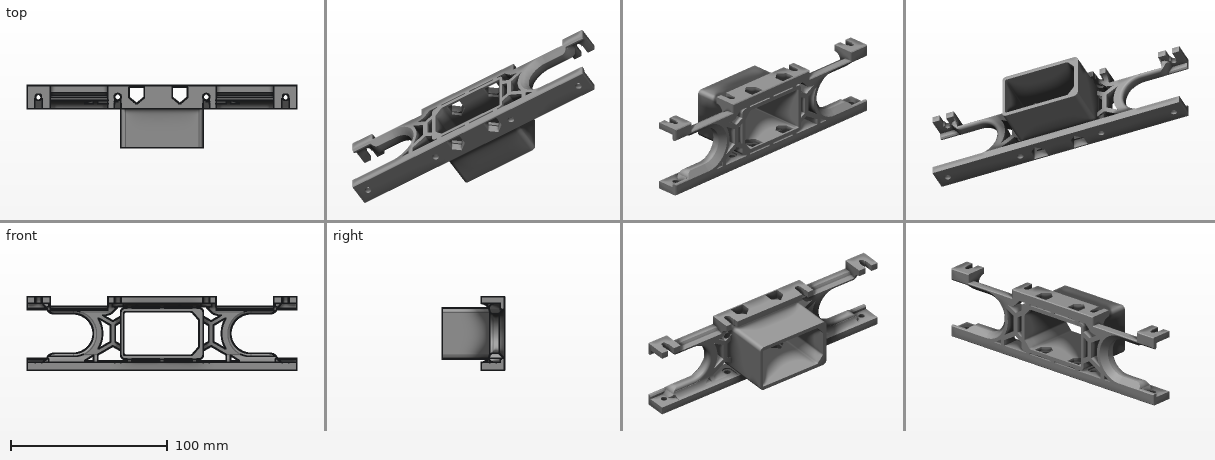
import cadquery as cq
import math

LENGTH = 172.0
HALF_LENGTH = LENGTH / 2
HEIGHT = 47.0
HALF_HEIGHT = HEIGHT / 2
FLANGE_DEPTH = 15.1
PLATE_THICKNESS = 9.8
GUSSET_RADIUS = 5.2
TOP_FLANGE_THICKNESS = 4.3
BOTTOM_FLANGE_THICKNESS = 5.2
TOP_SEAT = HALF_HEIGHT - TOP_FLANGE_THICKNESS
BOTTOM_SEAT = -HALF_HEIGHT + BOTTOM_FLANGE_THICKNESS
BACK_CHAMFER = 0.5
CUT_DEPTH = FLANGE_DEPTH + 1.7

CENTRE_FLANGE_HALF = 34.5
TAB_INNER = 71.2
BAR_TOP = 17.4
BAR_FRONT_TOP = 15.6
BAR_FLAT_DEPTH = 5.0
BAR_STEP = 1.4
BAR_SHELF_DEPTH = 7.7
BAR_EDGE_TOP = 14.8

OPENING_X = 56.4
OPENING_RADIUS = 12.5
OPENING_BACK_CHAMFER = 3.8
OPENING_FRONT_ROUND = 2.0
RING_WIDTH = 6.0

LIP_THICKNESS = 3.0
LIP_EDGE_TOP = 15.1
LIP_EDGE_BOTTOM = 15.8
LIP_START = 68.6
LIP_CHAMFER = 0.9
SEAT_WALL_FOOT = 76.0
SEAT_CORNER_RADIUS = 4.0
SEAT_CORNER_START = 6.9

TUBE_HALF_WIDTH = 26.3
TUBE_HALF_HEIGHT = 16.3
TUBE_DEPTH = 40.0
TUBE_CORNER = 2.8
BORE_LEFT = -24.2
BORE_RIGHT = 23.5
BORE_HALF_HEIGHT = 13.8
BORE_CHAMFER_X = 4.5
BORE_CHAMFER_Z = 5.2
BORE_CORNER = 0.7
BORE_SLANT_ROUND = 1.7

WINDOW_TOP = 17.2
WINDOW_BOTTOM = -17.4
WINDOW_SLOPE_TOP_X = 28.0
WINDOW_SLOPE_FOOT_X = 32.5
BAR_END_X = 36.5
BAR_END_BOTTOM = 11.3
RIB_WIDTH = 3.1
RIB_ANGLE = math.radians(30)
NODE_X = 31.3
NODE_Z = 6.2
ARM_LENGTH = 15.5
TUBE_RIB_X = 20.8
POST_INNER = 41.0
POST_OUTER = 43.7
POST_TOP = -13.2
TRIANGLE_WIDTH = 5.5
TRIANGLE_HEIGHT = 3.5

CENTRE_SCREW_X = 28.2
TAB_SCREW_X = 78.8
SCREW_Y = -7.5
HOLE_DIAMETER = 4.1
CENTRE_SLOT_WIDTH = 4.1
TAB_SLOT_WIDTH = 3.5
SLOT_MOUTH_WIDTH = 4.6
CENTRE_MOUTH_Y = -11.9
TAB_MOUTH_Y = -8.8
HEAD_DIAMETER = 6.9
HEAD_CLEARANCE = 2.2
POCKET_XS = (-16.2, 11.3)
POCKET_WIDTH = 9.6
POCKET_BACK = -1.4
POCKET_SHOULDER = -7.9
POCKET_TIP = -11.9


def both_sides(shape):
    """Return the shape together with its mirror image across X = 0."""
    return shape.union(shape.mirror("YZ"))


def block(x0, x1, y0, y1, z0, z1):
    """Box given by its limits along each axis."""
    return cq.Workplane("XY").box(x1 - x0, y1 - y0, z1 - z0, centered=False).translate((x0, y0, z0))


def from_back(outline, depth=CUT_DEPTH):
    """Extrude an XZ outline from the back face towards the front."""
    return outline.extrude(depth)


def channel():
    """C-shaped section with blended inner corners, notched along the top flange."""
    blend_front = PLATE_THICKNESS + GUSSET_RADIUS
    blend_mid = PLATE_THICKNESS + GUSSET_RADIUS * (1 - math.sqrt(0.5))
    blend_rise = GUSSET_RADIUS * (1 - math.sqrt(0.5))
    body = (
        cq.Workplane("YZ", origin=(-HALF_LENGTH, 0, 0))
        .moveTo(0, -HALF_HEIGHT)
        .lineTo(-FLANGE_DEPTH, -HALF_HEIGHT)
        .lineTo(-FLANGE_DEPTH, BOTTOM_SEAT)
        .lineTo(-blend_front, BOTTOM_SEAT)
        .threePointArc((-blend_mid, BOTTOM_SEAT + blend_rise),
                       (-PLATE_THICKNESS, BOTTOM_SEAT + GUSSET_RADIUS))
        .lineTo(-PLATE_THICKNESS, TOP_SEAT - GUSSET_RADIUS)
        .threePointArc((-blend_mid, TOP_SEAT - blend_rise), (-blend_front, TOP_SEAT))
        .lineTo(-FLANGE_DEPTH, TOP_SEAT)
        .lineTo(-FLANGE_DEPTH, HALF_HEIGHT)
        .lineTo(0, HALF_HEIGHT)
        .close()
        .extrude(LENGTH)
    )
    notch = (
        cq.Workplane("YZ", origin=(CENTRE_FLANGE_HALF, 0, 0))
        .moveTo(0, HALF_HEIGHT)
        .lineTo(0, BAR_TOP)
        .lineTo(-BAR_FLAT_DEPTH, BAR_TOP)
        .lineTo(-BAR_FLAT_DEPTH - BAR_STEP, BAR_FRONT_TOP)
        .lineTo(-BAR_SHELF_DEPTH, BAR_FRONT_TOP)
        .lineTo(-PLATE_THICKNESS, BAR_EDGE_TOP)
        .lineTo(-CUT_DEPTH, BAR_EDGE_TOP)
        .lineTo(-CUT_DEPTH, HALF_HEIGHT)
        .close()
        .extrude(TAB_INNER - CENTRE_FLANGE_HALF)
    )
    return body.cut(both_sides(notch)).faces(">Y").edges().chamfer(BACK_CHAMFER)


def opening():
    """Round-ended opening on +X: chamfered at the back, rounded over at the front."""
    round_start = PLATE_THICKNESS - OPENING_FRONT_ROUND
    round_mid = OPENING_FRONT_ROUND * (1 - math.sqrt(0.5))
    flare_radius = OPENING_RADIUS + OPENING_FRONT_ROUND

    def half_section(plane):
        return (
            cq.Workplane(plane)
            .moveTo(0, 0)
            .lineTo(OPENING_RADIUS + OPENING_BACK_CHAMFER, 0)
            .lineTo(OPENING_RADIUS, -OPENING_BACK_CHAMFER)
            .lineTo(OPENING_RADIUS, -round_start)
            .threePointArc((OPENING_RADIUS + round_mid, -PLATE_THICKNESS + round_mid),
                           (flare_radius, -PLATE_THICKNESS))
            .lineTo(flare_radius, -CUT_DEPTH)
            .lineTo(0, -CUT_DEPTH)
            .close()
        )

    round_end = half_section("XY").revolve(360, (0, 0, 0), (0, 1, 0)).translate((OPENING_X, 0, 0))
    upward = cq.Plane(origin=(OPENING_X, 0, 0), xDir=(0, 0, 1), normal=(-1, 0, 0))
    upper = half_section(upward).extrude(OPENING_X - HALF_LENGTH)
    return round_end.union(upper).union(upper.mirror("XY"))


def end_seat(side, lip_edge, seat):
    """Clear one end screw seat on +X, leaving the thin back lip; side is +1 above, -1 below."""
    def widening_run(edge):
        rise = edge - OPENING_RADIUS
        return math.sqrt(GUSSET_RADIUS ** 2 - (GUSSET_RADIUS - rise) ** 2)

    mid_rise = (lip_edge - OPENING_RADIUS) / 4
    lip_x = LIP_START + widening_run(lip_edge)
    mid_x = LIP_START + widening_run(OPENING_RADIUS + mid_rise)
    widening = from_back(
        cq.Workplane("XZ")
        .moveTo(LIP_START, 0)
        .lineTo(LIP_START, side * OPENING_RADIUS)
        .threePointArc((mid_x, side * (OPENING_RADIUS + mid_rise)), (lip_x, side * lip_edge))
        .lineTo(HALF_LENGTH, side * lip_edge)
        .lineTo(HALF_LENGTH, 0)
        .close()
    )
    clearance = from_back(
        cq.Workplane("XZ", origin=(0, -LIP_THICKNESS, 0))
        .moveTo(lip_x, 0)
        .lineTo(lip_x, side * lip_edge)
        .lineTo(SEAT_WALL_FOOT, seat)
        .lineTo(HALF_LENGTH, seat)
        .lineTo(HALF_LENGTH, 0)
        .close()
    )
    chamfer = (
        cq.Workplane("YZ", origin=(lip_x, 0, 0))
        .moveTo(-LIP_THICKNESS, side * lip_edge)
        .lineTo(-LIP_THICKNESS + LIP_CHAMFER, side * lip_edge)
        .lineTo(-LIP_THICKNESS, side * (lip_edge + LIP_CHAMFER))
        .close()
        .extrude(HALF_LENGTH - lip_x)
    )
    return widening.union(clearance).union(chamfer)


def seat_corner():
    """Round the plate corner that faces one end screw seat on +X."""
    corner_x = SEAT_WALL_FOOT - SEAT_CORNER_RADIUS
    corner_y = -SEAT_CORNER_START - SEAT_CORNER_RADIUS
    mid = SEAT_CORNER_RADIUS * math.sqrt(0.5)
    return (
        cq.Workplane("XY", origin=(0, 0, BOTTOM_SEAT))
        .moveTo(SEAT_WALL_FOOT, -SEAT_CORNER_START)
        .threePointArc((corner_x + mid, -SEAT_CORNER_START - mid), (corner_x, corner_y))
        .lineTo(corner_x, -CUT_DEPTH)
        .lineTo(HALF_LENGTH, -CUT_DEPTH)
        .lineTo(HALF_LENGTH, -SEAT_CORNER_START)
        .close()
        .extrude(TOP_SEAT - BOTTOM_SEAT)
    )


def rib(x, z, angle, length):
    """Rib starting at (x, z) and running along an angle measured from +X."""
    bar = cq.Workplane("XZ").rect(length, RIB_WIDTH).extrude(CUT_DEPTH).translate((length / 2, 0, 0))
    return bar.rotate((0, 0, 0), (0, 1, 0), -math.degrees(angle)).translate((x, 0, z))


def window():
    """Voids between the openings, with the ring walls, ribs and tube left standing."""
    void = from_back(
        cq.Workplane("XZ")
        .moveTo(0, WINDOW_TOP)
        .lineTo(WINDOW_SLOPE_TOP_X, WINDOW_TOP)
        .lineTo(WINDOW_SLOPE_FOOT_X, OPENING_RADIUS)
        .lineTo(BAR_END_X, BAR_END_BOTTOM)
        .lineTo(POST_OUTER, -POST_TOP)
        .lineTo(POST_OUTER, POST_TOP)
        .lineTo(POST_INNER, POST_TOP)
        .lineTo(POST_INNER, WINDOW_BOTTOM)
        .lineTo(0, WINDOW_BOTTOM)
        .close()
    )
    ring = from_back(cq.Workplane("XZ").center(OPENING_X, 0).circle(OPENING_RADIUS + RING_WIDTH))
    void = void.cut(ring).cut(rib(NODE_X, -NODE_Z, math.pi / 2, 2 * NODE_Z))
    for side in (1, -1):
        for angle in (RIB_ANGLE, math.pi - RIB_ANGLE):
            void = void.cut(rib(NODE_X, side * NODE_Z, side * angle, ARM_LENGTH))
    for x in (0, TUBE_RIB_X):
        void = void.cut(rib(x, -HALF_HEIGHT, math.pi / 2, HEIGHT))
    triangle = from_back(
        cq.Workplane("XZ")
        .moveTo(POST_OUTER, WINDOW_BOTTOM)
        .lineTo(POST_OUTER + TRIANGLE_WIDTH, WINDOW_BOTTOM)
        .lineTo(POST_OUTER, WINDOW_BOTTOM + TRIANGLE_HEIGHT)
        .close()
    )
    return both_sides(void.union(triangle))


def tube():
    """Outer body of the rectangular tube."""
    return (
        cq.Workplane("XZ")
        .rect(2 * TUBE_HALF_WIDTH, 2 * TUBE_HALF_HEIGHT)
        .extrude(TUBE_DEPTH)
        .edges("|Y")
        .fillet(TUBE_CORNER)
    )


def bore():
    """Inside of the tube, with slanted, softened corners on the +X side."""
    slant_x = BORE_RIGHT - BORE_CHAMFER_X
    slant_z = BORE_HALF_HEIGHT - BORE_CHAMFER_Z
    outline = [
        (BORE_LEFT, -BORE_HALF_HEIGHT),
        (slant_x, -BORE_HALF_HEIGHT),
        (BORE_RIGHT, -slant_z),
        (BORE_RIGHT, slant_z),
        (slant_x, BORE_HALF_HEIGHT),
        (BORE_LEFT, BORE_HALF_HEIGHT),
    ]
    inside = from_back(cq.Workplane("XZ").polyline(outline).close(), TUBE_DEPTH)
    inside = inside.edges("|Y").edges("<X").fillet(BORE_CORNER)
    return inside.edges("|Y").edges(cq.selectors.BoxSelector(
        (slant_x - BORE_CORNER, -TUBE_DEPTH, -TUBE_HALF_HEIGHT),
        (TUBE_HALF_WIDTH, 0, TUBE_HALF_HEIGHT),
    )).fillet(BORE_SLANT_ROUND)


def screw_head_clearance(x):
    """Shallow round-ended reliefs for the screw heads against both flanges, open at the front."""
    half = HEAD_DIAMETER / 2
    head = cq.Workplane("XY", origin=(x, SCREW_Y, 0)).circle(half).extrude(HEAD_CLEARANCE)
    head = head.union(block(x - half, x + half, -CUT_DEPTH, SCREW_Y, 0, HEAD_CLEARANCE))
    upper = head.translate((0, 0, TOP_SEAT - HEAD_CLEARANCE))
    lower = head.translate((0, 0, BOTTOM_SEAT))
    return upper.union(lower)


def screw_cuts(x, slot_width, mouth_y):
    """Round hole up through the bottom flange and arms, and an open slot in the top flange."""
    hole = (
        cq.Workplane("XY", origin=(x, SCREW_Y, -HALF_HEIGHT))
        .circle(HOLE_DIAMETER / 2)
        .extrude(HALF_HEIGHT + TOP_SEAT)
    )
    slot_end = (
        cq.Workplane("XY", origin=(x, SCREW_Y, TOP_SEAT))
        .circle(slot_width / 2)
        .extrude(TOP_FLANGE_THICKNESS)
    )
    half = slot_width / 2
    half_mouth = SLOT_MOUTH_WIDTH / 2
    slot = block(x - half, x + half, mouth_y, SCREW_Y, TOP_SEAT, HALF_HEIGHT)
    mouth = block(x - half_mouth, x + half_mouth, -CUT_DEPTH, mouth_y, TOP_SEAT, HALF_HEIGHT)
    return hole.union(slot_end).union(slot).union(mouth)


def pointed_pocket(x):
    """Five-sided hole that passes through both flanges and the tube walls."""
    half = POCKET_WIDTH / 2
    outline = [
        (x - half, POCKET_BACK),
        (x + half, POCKET_BACK),
        (x + half, POCKET_SHOULDER),
        (x, POCKET_TIP),
        (x - half, POCKET_SHOULDER),
    ]
    return cq.Workplane("XY", origin=(0, 0, -HALF_HEIGHT)).polyline(outline).close().extrude(HEIGHT)


frame = channel().cut(both_sides(opening()))
frame = frame.cut(both_sides(end_seat(1, LIP_EDGE_TOP, TOP_SEAT)))
frame = frame.cut(both_sides(end_seat(-1, LIP_EDGE_BOTTOM, BOTTOM_SEAT)))
frame = frame.cut(both_sides(seat_corner()))
frame = frame.cut(window())
frame = frame.cut(both_sides(screw_head_clearance(CENTRE_SCREW_X)))

result = frame.union(tube()).cut(bore())
result = result.cut(both_sides(screw_cuts(CENTRE_SCREW_X, CENTRE_SLOT_WIDTH, CENTRE_MOUTH_Y)))
result = result.cut(both_sides(screw_cuts(TAB_SCREW_X, TAB_SLOT_WIDTH, TAB_MOUTH_Y)))
for pocket_x in POCKET_XS:
    result = result.cut(pointed_pocket(pocket_x))